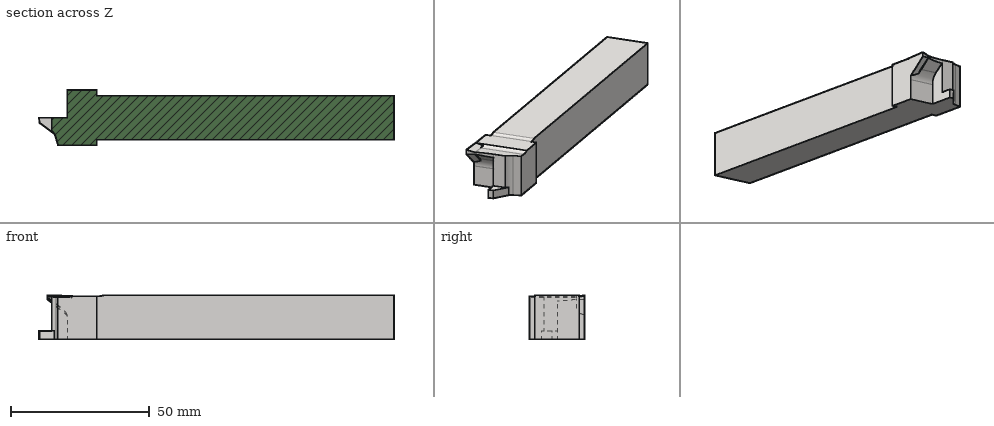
import cadquery as cq
import math

total_length = 128.3
head_width = 20.0
shank_size = 16.0
head_end = 21.0
half_head = head_width / 2

head_height = 15.6
step_start = 21.3
step_end = 23.6
groove_start = 9.3
groove_end = 12.05
groove_floor = 15.15
rake_angle = 2.0

nose_x = 4.65
flank_start_y = -4.75
flank_end_x = 6.09
flank_end_y = -7.1
flank_angle = 16.0
sweep_angle = 13.3

edge_inner_y = 6.9
edge_end_inner_x = 11.75
edge_top_z = shank_size
edge_bottom_z = 14.4
edge_under_slope = 0.8
edge_under_tilt = 0.25

blade_height = 3.1
blade_tip_width = 1.9
blade_tip_angle = 8.0
blade_back_angle = 53.5

relief_wall_x = 10.3
relief_arc_start_z = 7.4
relief_radius = 4.9
relief_turn = 54.0


def tangent(degrees):
    return math.tan(math.radians(degrees))


sweep_run = edge_inner_y * tangent(sweep_angle / 2)
edge_inner_x = nose_x - sweep_run
edge_outer_x = edge_inner_x - (half_head - edge_inner_y) * tangent(sweep_angle)
nose_low_x = flank_end_x + (half_head + flank_end_y) * tangent(flank_angle)


def rake_height(x):
    """Height of the rake face, which rises gently toward the nose."""
    return groove_floor + (groove_start - x) * tangent(rake_angle)


def side_profile():
    """Full-width body topped by the rake face, chip groove, head flat and step to the shank."""
    return (
        cq.Workplane("XZ", origin=(0, half_head, 0))
        .lineTo(0, rake_height(0))
        .lineTo(groove_start, groove_floor)
        .tangentArcPoint((groove_end, head_height), relative=False)
        .lineTo(step_start, head_height)
        .tangentArcPoint((step_end, shank_size), relative=False)
        .lineTo(total_length, shank_size)
        .lineTo(total_length, 0)
        .close()
        .extrude(head_width)
    )


def head_plan():
    """Head seen from above: swept nose on +Y, concave flank on -Y."""
    return (
        cq.Workplane("XY")
        .moveTo(edge_outer_x, half_head)
        .lineTo(head_end, half_head)
        .lineTo(head_end, -half_head)
        .lineTo(nose_low_x, -half_head)
        .lineTo(flank_end_x, flank_end_y)
        .tangentArcPoint((nose_x, flank_start_y), relative=False)
        .lineTo(nose_x, 0)
        .tangentArcPoint((edge_inner_x, edge_inner_y), relative=False)
        .close()
        .extrude(shank_size)
    )


def shank_plan():
    """Square shank, reaching forward into the head."""
    return (
        cq.Workplane("XY")
        .box(total_length - groove_end, shank_size, shank_size, centered=(False, True, False))
        .translate((groove_end, 0, 0))
    )


def relief_pocket():
    """Clearance below the upper edge: upright wall, concave arc and sloped ceiling."""
    turn = math.radians(relief_turn)
    arc_end_x = relief_wall_x - relief_radius * (1 - math.cos(turn))
    arc_end_z = relief_arc_start_z + relief_radius * math.sin(turn)
    return (
        cq.Workplane("XZ", origin=(0, half_head, 0))
        .lineTo(relief_wall_x, 0)
        .lineTo(relief_wall_x, relief_arc_start_z)
        .tangentArcPoint((arc_end_x, arc_end_z), relative=False)
        .lineTo(0, arc_end_z + arc_end_x / math.tan(turn))
        .close()
        .extrude(half_head)
    )


def edge_underside(x, y):
    """Height of the edge's sloped underside, lowest at the outer face."""
    return (
        edge_bottom_z
        - edge_under_slope * (x - edge_outer_x)
        + edge_under_tilt * (half_head - y)
    )


def edge_top(x, y):
    """Height of the edge's top face, tilted up from the rake face toward +Y."""
    tilt = (edge_top_z - rake_height(edge_outer_x)) / (half_head - edge_inner_y)
    return rake_height(x) + tilt * (y - edge_inner_y)


def edge_section(y, front_x, end_x, headroom):
    """Outline of the edge at one Y position, with its top raised by headroom."""
    return cq.Wire.makePolygon(
        [
            cq.Vector(front_x, y, edge_underside(front_x, y)),
            cq.Vector(end_x, y, edge_underside(end_x, y)),
            cq.Vector(end_x, y, edge_top(end_x, y) + headroom),
            cq.Vector(front_x, y, edge_top(front_x, y) + headroom),
        ],
        close=True,
    )


def upper_edge(headroom=0.0):
    """Wedge at the +Y corner that thickens outward to the cutting corner."""
    inner = edge_section(edge_inner_y, edge_inner_x, edge_end_inner_x, headroom)
    outer = edge_section(half_head, edge_outer_x, groove_end, headroom)
    return cq.Workplane(cq.Solid.makeLoft([inner, outer], True))


def lower_blade():
    """Flat blade at the base whose tip is the foremost point of the tool."""
    tip_back_x = blade_tip_width * tangent(blade_tip_angle)
    back_end_y = -blade_tip_width - (flank_end_x - tip_back_x) / tangent(blade_back_angle)
    outline = [
        (0, 0),
        (relief_wall_x, 0),
        (relief_wall_x, back_end_y),
        (flank_end_x, back_end_y),
        (tip_back_x, -blade_tip_width),
    ]
    return cq.Workplane("XY").polyline(outline).close().extrude(blade_height)


body = side_profile().intersect(head_plan().union(shank_plan()))
body = body.cut(relief_pocket())
edge_seat = upper_edge(headroom=shank_size - groove_floor)
result = body.cut(edge_seat).union(upper_edge()).union(lower_blade())